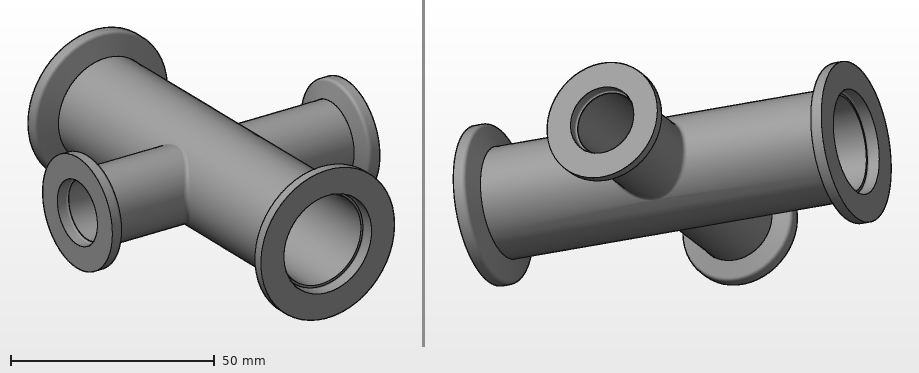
import cadquery as cq
import math

MAIN_LENGTH = 100.0
MAIN_OUTER_DIA = 28.0
MAIN_INNER_DIA = 24.0
MAIN_FLANGE_DIA = 40.0
MAIN_FLANGE_BORE_DIA = 26.2
MAIN_SOCKET_DIA = 28.1

BRANCH_LENGTH = 80.0
BRANCH_OUTER_DIA = 20.0
BRANCH_INNER_DIA = 16.0
BRANCH_FLANGE_DIA = 30.0
BRANCH_FLANGE_BORE_DIA = 17.2
BRANCH_SOCKET_DIA = 20.2

FLANGE_RIM_WIDTH = 3.0
FLANGE_BACK_ANGLE = 15.0
FLANGE_CORNER_RADIUS = 1.0
SOCKET_DEPTH = 3.0
SOCKET_FILLET = 0.5
JUNCTION_FILLET = 1.0


def rod(axis, length, diameter):
    """Cylinder centred on the origin along the given axis."""
    return cq.Workplane("XY").cylinder(length, diameter / 2, direct=axis)


def turn(body, angle):
    """Turn a body about the Z axis through the centre of the cross."""
    return body.rotate((0, 0, 0), (0, 0, 1), angle)


def make_cross_tube():
    """Main tube and both branches as one hollow cross, with filleted junctions."""
    x_axis = cq.Vector(1, 0, 0)
    y_axis = cq.Vector(0, 1, 0)
    main_tube_length = MAIN_LENGTH - 2 * SOCKET_DEPTH
    branch_tube_length = BRANCH_LENGTH - 2 * SOCKET_DEPTH

    main = rod(x_axis, main_tube_length, MAIN_OUTER_DIA)
    branch = rod(y_axis, branch_tube_length, BRANCH_OUTER_DIA)
    cross = main.union(branch)

    junction_reach = MAIN_OUTER_DIA / 2 + JUNCTION_FILLET
    junction_zone = cq.selectors.BoxSelector(
        (-junction_reach, -junction_reach, -junction_reach),
        (junction_reach, junction_reach, junction_reach),
        boundingbox=True,
    )
    cross = cross.edges(junction_zone).fillet(JUNCTION_FILLET)

    cross = cross.cut(rod(x_axis, main_tube_length, MAIN_INNER_DIA))
    cross = cross.cut(rod(y_axis, branch_tube_length, BRANCH_INNER_DIA))
    return cross


def make_flange(face_position, flange_dia, bore_dia, socket_dia):
    """Flange on the +X axis: cone-backed disc with a bore and a socket for the tube end."""
    flange_radius = flange_dia / 2
    bore_radius = bore_dia / 2
    socket_radius = socket_dia / 2
    shoulder = face_position - SOCKET_DEPTH
    rim_corner = face_position - FLANGE_RIM_WIDTH
    back_slope = math.tan(math.radians(FLANGE_BACK_ANGLE))
    back = rim_corner - (flange_radius - socket_radius) * back_slope

    lip_radius = bore_radius - SOCKET_FILLET
    lip_bulge = SOCKET_FILLET * (1 - math.sqrt(0.5))
    lip_arc_middle = (shoulder + lip_bulge, bore_radius - lip_bulge)

    turn_angle = math.radians(90 - FLANGE_BACK_ANGLE)
    tangent_length = FLANGE_CORNER_RADIUS * math.tan(turn_angle / 2)
    arc_centre = (rim_corner + tangent_length, flange_radius - FLANGE_CORNER_RADIUS)

    def arc_point(angle):
        return (
            arc_centre[0] - FLANGE_CORNER_RADIUS * math.sin(angle),
            arc_centre[1] + FLANGE_CORNER_RADIUS * math.cos(angle),
        )

    return (
        cq.Workplane("XY")
        .moveTo(face_position, bore_radius)
        .lineTo(face_position, flange_radius)
        .lineTo(*arc_point(0))
        .threePointArc(arc_point(turn_angle / 2), arc_point(turn_angle))
        .lineTo(back, socket_radius)
        .lineTo(shoulder, socket_radius)
        .lineTo(shoulder, lip_radius)
        .threePointArc(lip_arc_middle, (shoulder + SOCKET_FILLET, bore_radius))
        .close()
        .revolve(360, (0, 0, 0), (1, 0, 0))
    )


def make_main_flange(angle):
    flange = make_flange(MAIN_LENGTH / 2, MAIN_FLANGE_DIA, MAIN_FLANGE_BORE_DIA, MAIN_SOCKET_DIA)
    return turn(flange, angle)


def make_branch_flange(angle):
    flange = make_flange(
        BRANCH_LENGTH / 2, BRANCH_FLANGE_DIA, BRANCH_FLANGE_BORE_DIA, BRANCH_SOCKET_DIA
    )
    return turn(flange, angle)


cross_tube = make_cross_tube()
main_flanges = [make_main_flange(angle) for angle in (0, 180)]
branch_flanges = [make_branch_flange(angle) for angle in (90, 270)]

flange_solids = [flange.val() for flange in main_flanges + branch_flanges]
result = cq.Compound.makeCompound([cross_tube.solids().val(), *flange_solids])